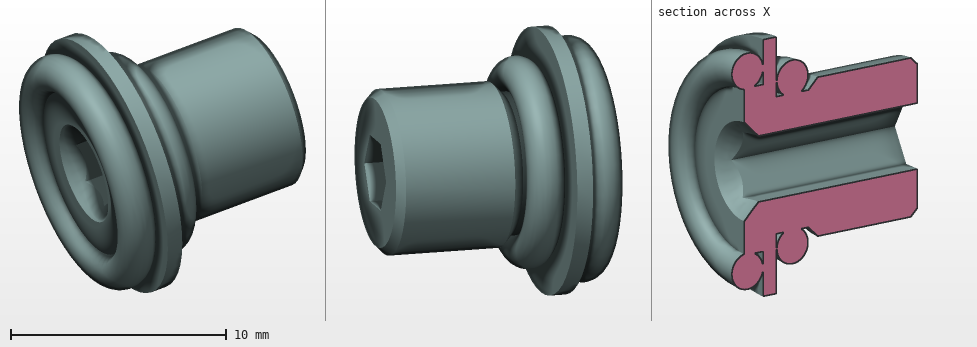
import cadquery as cq
import math

seal_cord = 1.78
face_seal_outer = 11.5
neck_seal_outer = 9.92
flange_diameter = 12.5
flange_thickness = 0.76
body_diameter = 7.75
total_length = 10.49
neck_taper = 0.53
end_chamfer = 0.38
hex_across_flats = 3.18
countersink_diameter = 4.8
seal_seat_overlap = 0.1
countersink_angle = 90.0
head_face_y = 0.7

flange_front = seal_cord
flange_back = flange_front + flange_thickness
taper_start = flange_back + seal_cord
taper_end = taper_start + neck_taper

cord_radius = seal_cord / 2
body_radius = body_diameter / 2
neck_radius = body_radius - neck_taper
boss_radius = face_seal_outer / 2 - seal_cord + seal_seat_overlap
hex_across_corners = hex_across_flats / math.cos(math.radians(30))


def revolve_about_y(profile):
    return profile.revolve(360, (0, 0, 0), (0, 1, 0))


def make_plug():
    """Boss, flange, neck and body turned from one profile (radius, y)."""
    profile = (
        cq.Workplane("XY")
        .moveTo(0, head_face_y)
        .lineTo(boss_radius, head_face_y)
        .lineTo(boss_radius, flange_front)
        .lineTo(flange_diameter / 2, flange_front)
        .lineTo(flange_diameter / 2, flange_back)
        .lineTo(neck_radius, flange_back)
        .lineTo(neck_radius, taper_start)
        .lineTo(body_radius, taper_end)
        .lineTo(body_radius, total_length - end_chamfer)
        .lineTo(body_radius - end_chamfer, total_length)
        .lineTo(0, total_length)
        .close()
    )
    return revolve_about_y(profile)


def make_seal(outer_diameter, front_y):
    """O-ring whose frontmost point lies at front_y."""
    centre_radius = outer_diameter / 2 - cord_radius
    section = (
        cq.Workplane("XY")
        .transformed(offset=(centre_radius, front_y + cord_radius, 0), rotate=(0, 0, 180))
        .circle(cord_radius)
    )
    return section.revolve(360, (centre_radius, 0, 0), (centre_radius, 1, 0))


def make_hex_socket():
    """Hexagonal hole through the whole length, corners pointing along X."""
    hexagon = cq.Workplane("XZ").polygon(6, hex_across_corners)
    return hexagon.extrude(-total_length)


def make_countersink():
    """Cone leading into the hexagonal hole from the head face."""
    radius = countersink_diameter / 2
    depth = radius / math.tan(math.radians(countersink_angle / 2))
    profile = (
        cq.Workplane("XY")
        .moveTo(0, head_face_y)
        .lineTo(radius, head_face_y)
        .lineTo(0, head_face_y + depth)
        .close()
    )
    return revolve_about_y(profile)


result = (
    make_plug()
    .union(make_seal(face_seal_outer, 0))
    .union(make_seal(neck_seal_outer, flange_back))
    .cut(make_hex_socket())
    .cut(make_countersink())
)